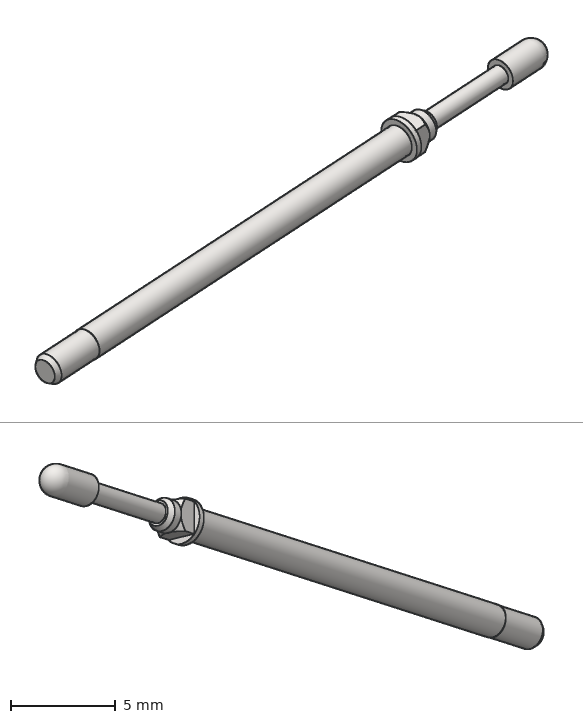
import cadquery as cq

length = 35.8

head_diameter = 1.6
head_radius = head_diameter / 2
head_length = 3.0
shaft_diameter = 1.0

collar_start = 8.27
mouth_diameter = 1.25
neck_start = 8.55
square_start = 9.02
square_width = 1.6
flange_start = 10.0
flange_thickness = 0.32
flange_diameter = 2.3

barrel_diameter = 1.65
tail_length = 3.0
tail_diameter = 1.6
tail_chamfer_length = 0.3
tail_chamfer_depth = 0.18

tip_y = length / 2


def cylinder(diameter, start, end):
    """Round section between two distances from the tip."""
    return (
        cq.Workplane("XZ", origin=(0, tip_y - start, 0))
        .circle(diameter / 2)
        .extrude(end - start)
    )


def make_cone(start_diameter, end_diameter, start, end):
    """Tapered round section between two distances from the tip."""
    return (
        cq.Workplane("XZ", origin=(0, tip_y - start, 0))
        .circle(start_diameter / 2)
        .workplane(offset=end - start)
        .circle(end_diameter / 2)
        .loft()
    )


def make_head():
    """Round head that ends in a hemisphere."""
    dome = cq.Workplane("XY", origin=(0, tip_y - head_radius, 0)).sphere(head_radius)
    return cylinder(head_diameter, head_radius, head_length).union(dome)


def make_square():
    """Square section whose front corners are bevelled by a 45 degree cone."""
    square_length = flange_start - square_start
    block = (
        cq.Workplane("XZ", origin=(0, tip_y - square_start, 0))
        .rect(square_width, square_width)
        .extrude(square_length)
    )
    bevel_end_diameter = barrel_diameter + 2 * square_length
    bevel = make_cone(barrel_diameter, bevel_end_diameter, square_start, flange_start)
    return block.intersect(bevel)


def make_tail():
    """Straight tail that narrows to a short cone at its end."""
    cone_start = length - tail_chamfer_length
    cone = make_cone(tail_diameter, tail_diameter - 2 * tail_chamfer_depth, cone_start, length)
    return cylinder(tail_diameter, length - tail_length, cone_start).union(cone)


result = (
    cylinder(shaft_diameter, head_radius, neck_start)
    .union(make_head())
    .union(make_cone(mouth_diameter, barrel_diameter, collar_start, neck_start))
    .union(cylinder(barrel_diameter, neck_start, square_start))
    .union(make_square())
    .union(cylinder(flange_diameter, flange_start, flange_start + flange_thickness))
    .union(cylinder(barrel_diameter, flange_start, length - tail_length))
    .union(make_tail())
)